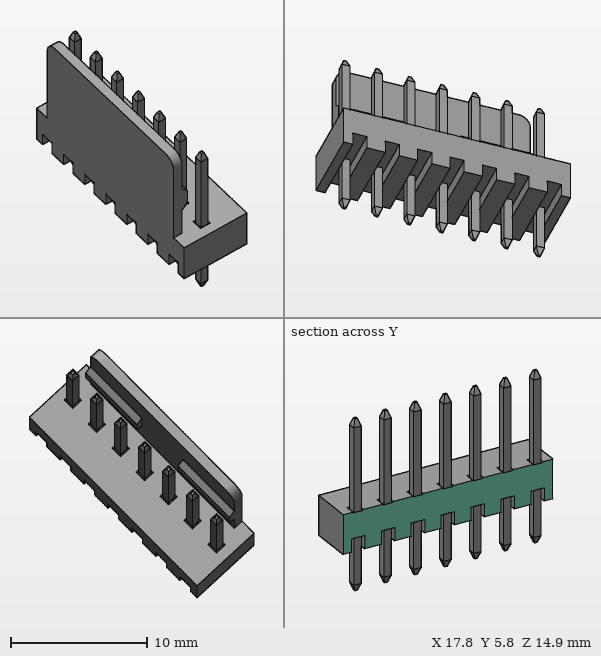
import cadquery as cq


pin_count = 7
base_length = 17.78
base_depth = 5.8
base_bottom = 3.41
base_height = 3.3
base_top = base_bottom + base_height
pitch = base_length / pin_count
row_length = (pin_count - 1) * pitch

notch_width = 1.1
notch_height = 1.08

overall_height = 14.9
wall_thickness = 0.8
wall_corner_radius = 0.98

latch_length = 5.44
latch_projection = 0.5
latch_bottom = 9.17
latch_height = 2.25

pin_width = 0.64
pin_top = 14.2
pin_row_y = 2.6
tip_width = 0.21
tip_length = 0.6

funnel_depth = 0.12
funnel_width = pin_width + 2 * funnel_depth

pin_positions = [(i * pitch - row_length / 2, pin_row_y) for i in range(pin_count)]


def make_taper(x, y, start_z, end_z, start_width, end_width):
    """Square frustum between two heights."""
    return (
        cq.Workplane("XY", origin=(x, y, start_z))
        .rect(start_width, start_width)
        .workplane(offset=end_z - start_z)
        .rect(end_width, end_width)
        .loft(ruled=True)
    )


def make_base():
    base = cq.Workplane("XY", origin=(0, base_depth / 2, base_bottom)).box(
        base_length, base_depth, base_height, centered=(True, True, False)
    )
    notches = (
        cq.Workplane("XY", origin=(0, base_depth / 2, base_bottom))
        .pushPoints([(x, 0) for x, _ in pin_positions])
        .rect(notch_width, base_depth)
        .extrude(notch_height)
    )
    base = base.cut(notches)
    for x, y in pin_positions:
        base = base.cut(make_taper(x, y, base_top - funnel_depth, base_top, pin_width, funnel_width))
    return base


def make_wall():
    return (
        cq.Workplane("XY", origin=(0, wall_thickness / 2, base_top))
        .box(row_length, wall_thickness, overall_height - base_top, centered=(True, True, False))
        .edges("|Y and >Z")
        .fillet(wall_corner_radius)
    )


def make_latch(start_x):
    """Trapezoidal rib running in +X from start_x."""
    latch_top = latch_bottom + latch_height
    crest_y = wall_thickness + latch_projection
    return (
        cq.Workplane("YZ", origin=(start_x, 0, 0))
        .moveTo(wall_thickness, latch_bottom)
        .lineTo(crest_y, latch_bottom + latch_projection)
        .lineTo(crest_y, latch_top - latch_projection)
        .lineTo(wall_thickness, latch_top)
        .close()
        .extrude(latch_length)
    )


def make_pin(x, y):
    shank_bottom = tip_length
    shank_top = pin_top - tip_length
    shank = (
        cq.Workplane("XY", origin=(x, y, shank_bottom))
        .rect(pin_width, pin_width)
        .extrude(shank_top - shank_bottom)
    )
    lower_tip = make_taper(x, y, 0, shank_bottom, tip_width, pin_width)
    upper_tip = make_taper(x, y, shank_top, pin_top, pin_width, tip_width)
    return shank.union(lower_tip).union(upper_tip)


result = make_base().union(make_wall())
for latch_start in (-row_length / 2, row_length / 2 - latch_length):
    result = result.union(make_latch(latch_start))
for x, y in pin_positions:
    result = result.union(make_pin(x, y))